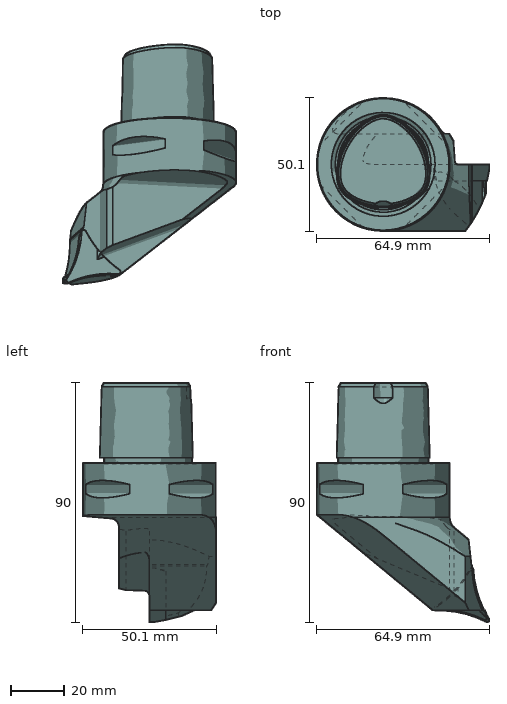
import cadquery as cq
import math


FLANGE_RADIUS = 50.0 / 2
FLANGE_HEIGHT = 20.6
SLOPE_START_Z = -19.5
FLANGE_EDGE_CHAMFER = 0.3
GRIP_FLAT_DISTANCE = 22.1
GRIP_CENTRE_Z = -10.0
GRIP_FLAT_WIDTH = 3.4
GRIP_MOUTH_WIDTH = 6.6
GRIP_CORNER_FILLET = 0.45

SHANK_TOP = 30.0
SHANK_BASE_RADIUS = 17.55
SHANK_UPPER_RADIUS = 16.8
SHANK_TOP_RADIUS = 16.0
LOBE_HEIGHT = 1.2
SHANK_CHAMFER_HEIGHT = 1.4
LOBE_POINTS = 36
NECK_HEIGHT = 1.8
NECK_INSET = 0.3
NECK_RADIUS = 17.1
RECESS_RADIUS = 19.5
RECESS_FLOOR_RADIUS = 18.0
RECESS_DEPTH = 0.5
NOTCH_RADIUS = 4.5
NOTCH_AXIS_Y = -18.3
NOTCH_SHOULDER_Z = 24.3

ARM_BOTTOM = -55.6
ARM_SLOPE = 39.5
ARM_RADIUS = 25.1
ARM_SIDE_Y = -ARM_RADIUS
BEVEL_Y = -18.9
NECK_FILLET = 10.0 / 2
NECK_FILLET_Z = -20.8
REAR_WALL_Y = 11.5
REAR_FLOOR_OUTER_Z = -20.2
REAR_FLOOR_INNER_Z = -21.1
REAR_FILLET = 3.1
PAD_START = (-7.8, -33.75)
PAD_RUN_PER_DROP = 2.4
PAD_FILLET = 1.8
POCKET_FOOT_X = 28.0
POCKET_FOOT_MIDDLE = (27.4, 0.4)
POCKET_WALL_START = (27.0, 1.1)
POCKET_WALL_END = (26.5, 8.8)
POCKET_CORNER_X = 24.8
HEAD_EDGE_X = 32.1
HEAD_EDGE_Z = -28.7
SEAT_LEDGE_START = (33.2, -38.3)
SEAT_LEDGE_END = (33.5, -38.9)
SEAT_SIDE_START = (33.5, -40.1)
SEAT_SIDE_MIDDLE = (34.4, -47.4)
SEAT_SIDE_END = (36.2, -52.9)
SEAT_BOTTOM_X = 37.2
NOSE_X = 38.7
NOSE_CURVE_START_Y = -10.8
NOSE_CURVE_MIDDLE = (35.7, -17.55)
NOSE_CURVE_END_X = 30.9
NOSE_RELIEF_ANGLE = 14.0

INSERT_CENTRE = (30.7, -51.5)
INSERT_TIP_DISTANCE = 11.4
INSERT_TIP_RADIUS = 0.8
INSERT_TIP_ANGLE = -42.5
INSERT_TIP_SWING = 72.0
INSERT_SIDE_SAG = 1.3
INSERT_LAND = 1.9
INSERT_THICKNESS = 6.1
INSERT_BACK_SCALE = 0.91

BEYOND = 72.0


def lobed_wire(radius, z):
    """Closed curve of constant width 2 * radius with one lobe toward +Y."""
    points = []
    for i in range(LOBE_POINTS):
        a = 2 * math.pi * i / LOBE_POINTS
        support = radius - LOBE_HEIGHT * math.sin(3 * a)
        slope = -3 * LOBE_HEIGHT * math.cos(3 * a)
        x = support * math.cos(a) - slope * math.sin(a)
        y = support * math.sin(a) + slope * math.cos(a)
        points.append(cq.Vector(x, y, z))
    return cq.Wire.assembleEdges([cq.Edge.makeSpline(points, periodic=True)])


def make_shank():
    chamfer_z = SHANK_TOP - SHANK_CHAMFER_HEIGHT
    neck_foot = lobed_wire(SHANK_BASE_RADIUS - NECK_INSET, -RECESS_DEPTH)
    neck_length = cq.Vector(0, 0, NECK_HEIGHT + RECESS_DEPTH)
    neck = cq.Workplane(cq.Solid.extrudeLinear(neck_foot, [], neck_length))
    base = lobed_wire(SHANK_BASE_RADIUS, NECK_HEIGHT)
    upper = lobed_wire(SHANK_UPPER_RADIUS, chamfer_z)
    top = lobed_wire(SHANK_TOP_RADIUS, SHANK_TOP)
    taper = cq.Workplane(cq.Solid.makeLoft([base, upper], True))
    chamfer = cq.Workplane(cq.Solid.makeLoft([upper, top], True))
    notch = (
        cq.Workplane("XZ")
        .moveTo(0, NOTCH_SHOULDER_Z - NOTCH_RADIUS)
        .lineTo(NOTCH_RADIUS, NOTCH_SHOULDER_Z)
        .lineTo(NOTCH_RADIUS, BEYOND)
        .lineTo(0, BEYOND)
        .close()
        .revolve(360, (0, 0), (0, 1))
        .translate((0, NOTCH_AXIS_Y, 0))
    )
    return neck.union(taper).union(chamfer).cut(notch)


def make_neck_groove():
    """Ring that rounds the foot of the shank and dishes the flange around it."""
    return (
        cq.Workplane("XZ")
        .moveTo(NECK_RADIUS, NECK_HEIGHT)
        .lineTo(NECK_RADIUS, -RECESS_DEPTH)
        .lineTo(RECESS_FLOOR_RADIUS, -RECESS_DEPTH)
        .lineTo(RECESS_RADIUS, 0)
        .lineTo(RECESS_RADIUS, NECK_HEIGHT)
        .close()
        .revolve(360, (0, 0), (0, 1))
    )


def make_flange():
    flange = cq.Workplane("XY").circle(FLANGE_RADIUS).extrude(-FLANGE_HEIGHT)
    flange = flange.faces(">Z").edges().chamfer(FLANGE_EDGE_CHAMFER)
    flat = GRIP_FLAT_WIDTH / 2
    mouth = GRIP_MOUTH_WIDTH / 2
    grip = (
        cq.Workplane("XZ")
        .moveTo(GRIP_FLAT_DISTANCE, GRIP_CENTRE_Z - flat)
        .lineTo(FLANGE_RADIUS, GRIP_CENTRE_Z - mouth)
        .lineTo(FLANGE_RADIUS, GRIP_CENTRE_Z + mouth)
        .lineTo(GRIP_FLAT_DISTANCE, GRIP_CENTRE_Z + flat)
        .close()
        .extrude(FLANGE_RADIUS, both=True)
        .faces("<X")
        .edges("|Y")
        .fillet(GRIP_CORNER_FILLET)
    )
    for angle in (45, 135, 225, 315):
        flange = flange.cut(grip.rotate((0, 0, 0), (0, 0, 1), angle))
    return flange


def make_slanted_block():
    """Flange outline with a tangent bevel and a flat side, pushed down along the slope."""
    bevel_x = -math.sqrt(ARM_RADIUS**2 - BEVEL_Y**2)
    side_x = (ARM_RADIUS**2 - ARM_SIDE_Y * BEVEL_Y) / bevel_x
    outline = (
        cq.Workplane("XY", origin=(0, 0, SLOPE_START_Z))
        .moveTo(0, ARM_RADIUS)
        .threePointArc((-ARM_RADIUS, 0), (bevel_x, BEVEL_Y))
        .lineTo(side_x, ARM_SIDE_Y)
        .lineTo(BEYOND, ARM_SIDE_Y)
        .lineTo(BEYOND, ARM_RADIUS)
        .close()
    )
    drop = SLOPE_START_Z - ARM_BOTTOM
    run = drop / math.tan(math.radians(ARM_SLOPE))
    return cq.Workplane(cq.Solid.extrudeLinear(outline.val(), [], cq.Vector(run, 0, -drop)))


def make_conical_limit():
    """Body of revolution that gives the arm its filleted, cone-shaped top."""
    slope = math.radians(ARM_SLOPE)
    centre_r = ARM_RADIUS + NECK_FILLET

    def on_fillet(angle):
        return (centre_r - NECK_FILLET * math.cos(angle), NECK_FILLET_Z - NECK_FILLET * math.sin(angle))

    turn = math.pi / 2 - slope
    cone_start = on_fillet(turn)
    cone_end_z = cone_start[1] - (BEYOND - cone_start[0]) * math.tan(slope)
    return (
        cq.Workplane("XZ")
        .moveTo(0, -FLANGE_HEIGHT)
        .lineTo(ARM_RADIUS, -FLANGE_HEIGHT)
        .lineTo(ARM_RADIUS, NECK_FILLET_Z)
        .threePointArc(on_fillet(turn / 2), cone_start)
        .lineTo(BEYOND, cone_end_z)
        .lineTo(0, cone_end_z)
        .close()
        .revolve(360, (0, 0), (0, 1))
    )


def make_plan_limit():
    """Outline of the arm from above: chip pocket wall behind Y = 0 and rounded nose in front."""
    diagonal = ARM_RADIUS * math.sqrt(0.5)
    return (
        cq.Workplane("XY")
        .moveTo(-ARM_RADIUS, 0)
        .threePointArc((-diagonal, -diagonal), (0, ARM_SIDE_Y))
        .lineTo(NOSE_CURVE_END_X, ARM_SIDE_Y)
        .threePointArc(NOSE_CURVE_MIDDLE, (NOSE_X, NOSE_CURVE_START_Y))
        .lineTo(NOSE_X, 0)
        .lineTo(POCKET_FOOT_X, 0)
        .threePointArc(POCKET_FOOT_MIDDLE, POCKET_WALL_START)
        .lineTo(*POCKET_WALL_END)
        .lineTo(POCKET_CORNER_X, REAR_WALL_Y)
        .lineTo(POCKET_CORNER_X, FLANGE_RADIUS)
        .lineTo(-ARM_RADIUS, FLANGE_RADIUS)
        .close()
        .extrude(-BEYOND)
    )


def insert_outline(workplane, scale):
    """Three rounded tips joined by hollow sides, drawn in the XZ plane."""
    centre_x, centre_z = INSERT_CENTRE

    def at(distance, angle):
        a = math.radians(angle)
        return (centre_x + scale * distance * math.cos(a), centre_z + scale * distance * math.sin(a))

    def on_tip(tip_angle, swing):
        tip = math.radians(tip_angle)
        out = math.radians(tip_angle + swing)
        x = INSERT_TIP_DISTANCE * math.cos(tip) + INSERT_TIP_RADIUS * math.cos(out)
        z = INSERT_TIP_DISTANCE * math.sin(tip) + INSERT_TIP_RADIUS * math.sin(out)
        return (centre_x + scale * x, centre_z + scale * z)

    middle = INSERT_TIP_DISTANCE / 2 + INSERT_TIP_RADIUS - INSERT_SIDE_SAG
    swing = INSERT_TIP_SWING
    outline = workplane.moveTo(*on_tip(INSERT_TIP_ANGLE, -swing))
    for corner in range(3):
        angle = INSERT_TIP_ANGLE + 120 * corner
        outline = outline.threePointArc(on_tip(angle, 0), on_tip(angle, swing))
        outline = outline.threePointArc(at(middle, angle + 60), on_tip(angle + 120, -swing))
    return outline.close()


def make_back_outline():
    """Smaller outline of the insert back, where the holder supports it."""
    return insert_outline(cq.Workplane("XZ", origin=(0, -INSERT_THICKNESS, 0)), INSERT_BACK_SCALE).val()


def make_insert():
    """Straight land behind the cutting face, then a taper down to the back."""
    land = insert_outline(cq.Workplane("XZ"), 1.0).extrude(INSERT_LAND)
    front = insert_outline(cq.Workplane("XZ", origin=(0, -INSERT_LAND, 0)), 1.0).val()
    back = make_back_outline()
    return land.union(cq.Workplane(cq.Solid.makeLoft([front, back], True)))


def make_side_limit():
    """Cuts the arm off at its end edge above the insert and along the insert side."""
    return (
        cq.Workplane("XZ")
        .moveTo(-BEYOND, 0)
        .lineTo(HEAD_EDGE_X, 0)
        .lineTo(HEAD_EDGE_X, HEAD_EDGE_Z)
        .lineTo(*SEAT_LEDGE_START)
        .lineTo(*SEAT_LEDGE_END)
        .lineTo(*SEAT_SIDE_START)
        .threePointArc(SEAT_SIDE_MIDDLE, SEAT_SIDE_END)
        .lineTo(SEAT_BOTTOM_X, ARM_BOTTOM)
        .lineTo(-BEYOND, ARM_BOTTOM)
        .close()
        .extrude(BEYOND, both=True)
    )


def make_nose():
    """Insert support below the arm: the insert back outline, rising with the relief angle."""
    length = -ARM_SIDE_Y - INSERT_THICKNESS
    rise = length * math.tan(math.radians(NOSE_RELIEF_ANGLE))
    support = cq.Workplane(cq.Solid.extrudeLinear(make_back_outline(), [], cq.Vector(0, -length, rise)))
    below_arm = cq.Workplane("XY", origin=(0, 0, ARM_BOTTOM)).rect(2 * BEYOND, 2 * BEYOND).extrude(-BEYOND)
    return support.intersect(below_arm).intersect(make_plan_limit())


def make_rear_cut():
    """Removes the arm behind the rear wall, leaving a filleted floor under the flange."""
    corner_y = REAR_WALL_Y + REAR_FILLET
    corner_z = REAR_FLOOR_INNER_Z - REAR_FILLET
    blend = REAR_FILLET * (1 - math.sqrt(0.5))
    return (
        cq.Workplane("YZ", origin=(-BEYOND, 0, 0))
        .moveTo(FLANGE_RADIUS, REAR_FLOOR_OUTER_Z)
        .lineTo(corner_y, REAR_FLOOR_INNER_Z)
        .threePointArc((REAR_WALL_Y + blend, REAR_FLOOR_INNER_Z - blend), (REAR_WALL_Y, corner_z))
        .lineTo(REAR_WALL_Y, -BEYOND)
        .lineTo(BEYOND, -BEYOND)
        .lineTo(BEYOND, REAR_FLOOR_OUTER_Z)
        .close()
        .extrude(2 * BEYOND)
    )


def make_pad_cut():
    """Trims the underside of the part of the arm behind Y = 0 to a gentler slope."""
    start_x, start_z = PAD_START
    end_z = start_z - (BEYOND - start_x) / PAD_RUN_PER_DROP
    return (
        cq.Workplane("XZ")
        .moveTo(start_x, start_z)
        .lineTo(BEYOND, end_z)
        .lineTo(BEYOND, -2 * BEYOND)
        .lineTo(start_x, -2 * BEYOND)
        .close()
        .extrude(-BEYOND)
        .edges(cq.selectors.NearestToPointSelector(((start_x + BEYOND) / 2, 0, (start_z + end_z) / 2)))
        .fillet(PAD_FILLET)
    )


def make_holder(insert):
    block = make_slanted_block()
    rear_cut = make_rear_cut()
    arm = block.intersect(make_conical_limit()).intersect(make_plan_limit()).intersect(make_side_limit())
    arm = arm.cut(rear_cut).cut(make_pad_cut())

    rim_height = FLANGE_HEIGHT + SLOPE_START_Z
    rim = cq.Workplane("XY", origin=(0, 0, -FLANGE_HEIGHT)).circle(ARM_RADIUS).extrude(rim_height)
    flange = make_flange().cut(rim.cut(block)).cut(rear_cut)

    top = flange.union(make_shank()).cut(make_neck_groove())
    return top.union(arm).union(make_nose()).cut(insert)


insert = make_insert()
holder = make_holder(insert)
result = cq.Compound.makeCompound([holder.solids().val(), insert.solids().val()])